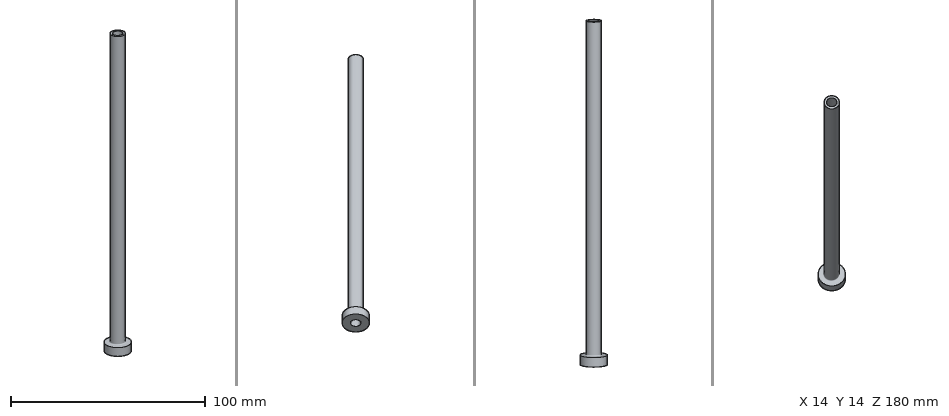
import cadquery as cq

total_length = 180.0
head_diameter = 14.0
head_height = 5.0
tube_diameter = 8.0
bore_diameter = 5.2
neck_fillet = 0.5

head = cq.Workplane("XY").circle(head_diameter / 2).extrude(head_height)

tube = cq.Workplane("XY").circle(tube_diameter / 2).extrude(total_length)
body = head.union(tube)

neck_edge = cq.selectors.RadiusNthSelector(0)
body = body.faces("+Z").faces("<Z").edges(neck_edge).fillet(neck_fillet)

bore = cq.Workplane("XY").circle(bore_diameter / 2).extrude(total_length)
result = body.cut(bore)